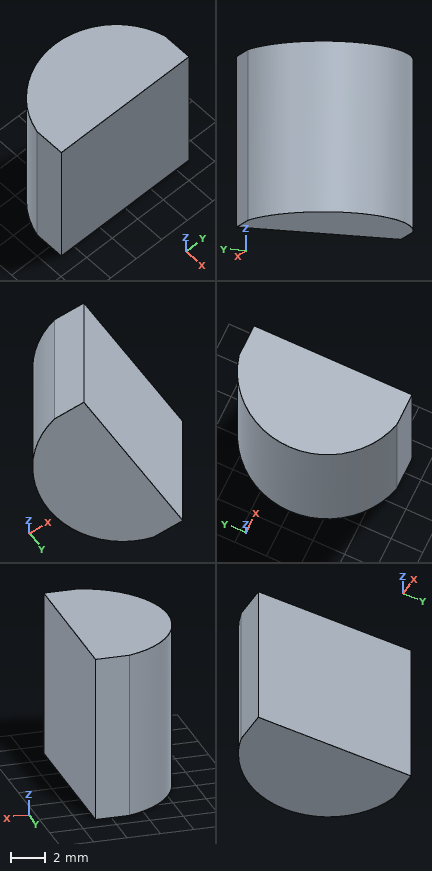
import cadquery as cq

depth = 5.9
width = 10.0
height = 10.0
side_flat = 2.03

half_width = width / 2
arc_start_x = depth - side_flat

outline = (
    cq.Workplane("XY")
    .moveTo(arc_start_x, -half_width)
    .lineTo(depth, -half_width)
    .lineTo(depth, half_width)
    .lineTo(arc_start_x, half_width)
    .threePointArc((0, 0), (arc_start_x, -half_width))
    .close()
)

result = outline.extrude(height)